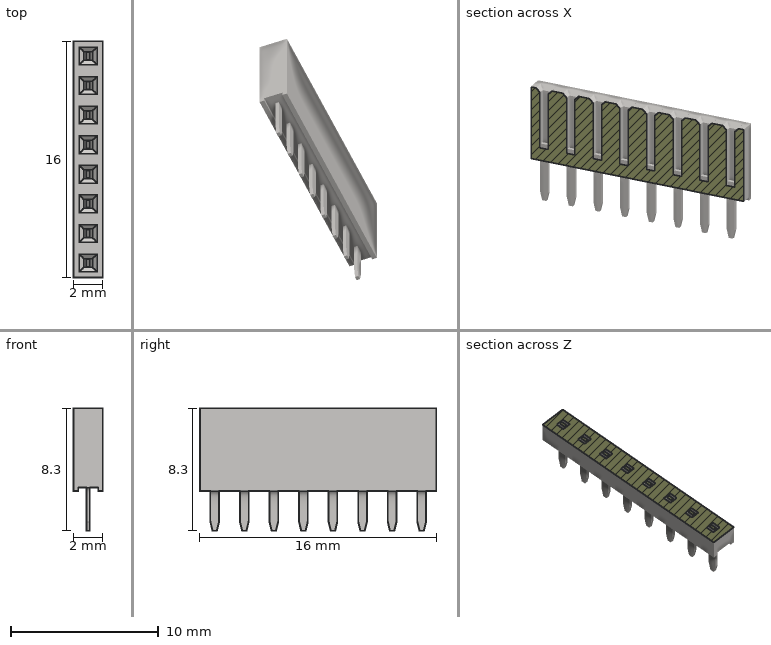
import cadquery as cq

contact_count = 8
pitch = 2.0
housing_width = pitch
housing_length = contact_count * pitch
housing_height = 5.62
total_height = 8.3

foot_width = 0.34
channel_depth = 0.24
channel_width = housing_width - 2 * foot_width

mouth_size = 1.2
well_size = 0.6
funnel_depth = 0.3
floor_thickness = 0.96
well_floor_z = channel_depth + floor_thickness

pin_thickness = 0.24
pin_width = 0.6
tip_width = 0.3
tip_length = 0.62
tip_z = housing_height - total_height

contact_width = 0.5
contact_rise = 0.32

contact_places = [
    (0, (index - (contact_count - 1) / 2) * pitch) for index in range(contact_count)
]


def make_housing():
    bar = cq.Workplane("XY").box(
        housing_width, housing_length, housing_height, centered=(True, True, False)
    )
    channel = cq.Workplane("XY").box(
        channel_width, housing_length, channel_depth, centered=(True, True, False)
    )
    return bar.cut(channel)


def make_socket():
    """Empty space of one socket, open at the top of the housing."""
    funnel = (
        cq.Workplane("XY", origin=(0, 0, housing_height - funnel_depth))
        .rect(well_size, well_size)
        .workplane(offset=funnel_depth)
        .rect(mouth_size, mouth_size)
        .loft(ruled=True)
    )
    well_depth = housing_height - funnel_depth - well_floor_z
    well = (
        cq.Workplane("XY", origin=(0, 0, well_floor_z))
        .rect(well_size, well_size)
        .extrude(well_depth)
    )
    contact_top = (
        cq.Workplane("XY", origin=(0, 0, well_floor_z))
        .rect(pin_thickness, contact_width)
        .extrude(contact_rise)
    )
    return funnel.union(well).cut(contact_top)


def make_pin():
    """Flat pin in the YZ plane, rooted in the web above the channel."""
    shoulder_z = tip_z + tip_length
    root_z = (channel_depth + well_floor_z) / 2
    return (
        cq.Workplane("YZ")
        .moveTo(-pin_width / 2, root_z)
        .lineTo(-pin_width / 2, shoulder_z)
        .lineTo(-tip_width / 2, tip_z)
        .lineTo(tip_width / 2, tip_z)
        .lineTo(pin_width / 2, shoulder_z)
        .lineTo(pin_width / 2, root_z)
        .close()
        .extrude(pin_thickness / 2, both=True)
    )


result = make_housing()
socket = make_socket()
pin = make_pin()
for x, y in contact_places:
    result = result.cut(socket.translate((x, y, 0)))
    result = result.union(pin.translate((x, y, 0)))